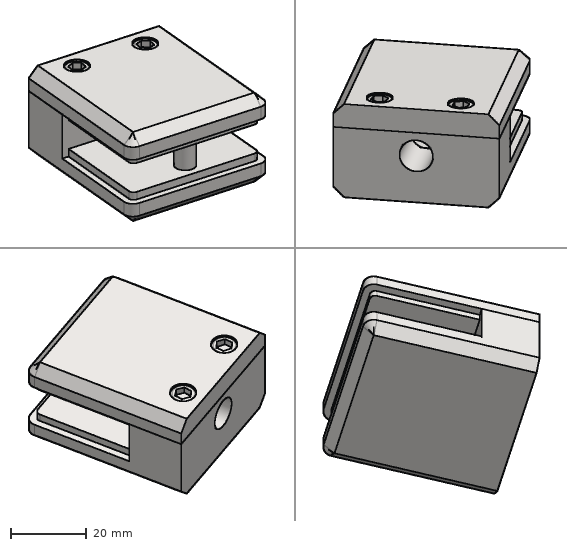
import cadquery as cq

LENGTH = 48.0
WIDTH = 45.0
HEIGHT = 27.0
EDGE_BEVEL = 3.0

COVER_THICKNESS = 6.8
SLOT_BACK = 16.0
PAD_THICKNESS = 2.3
PAD_INSET = 2.0
PAD_CORNER_RADIUS = 1.5

BORE_DIAMETER = 9.0
PIN_DIAMETER = 6.0
PIN_X = 41.0
PIN_END_GAP = 0.1

SCREW_X = 6.0
SCREW_SPACING = 22.0
HEAD_DIAMETER = 7.0
HEAD_HEIGHT = 4.0
HEAD_RECESS = 0.3
HEAD_ROUNDING = 0.55
SHANK_DIAMETER = 4.0
SHANK_LENGTH = 12.0
SOCKET_ACROSS_CORNERS = 4.7
SOCKET_DEPTH = 1.9
LOWER_SOCKET_TURN = -5.0
UPPER_SOCKET_TURN = -9.0

TOP = HEIGHT / 2
COVER_BOTTOM = TOP - COVER_THICKNESS
SLOT_FLOOR = -COVER_BOTTOM
PIN_LENGTH = 2 * (COVER_BOTTOM - PAD_THICKNESS - PIN_END_GAP)
HEAD_TOP = TOP - HEAD_RECESS
HEAD_SEAT = HEAD_TOP - HEAD_HEIGHT
SCREW_PLACES = [
    (-SCREW_SPACING / 2, LOWER_SOCKET_TURN),
    (SCREW_SPACING / 2, UPPER_SOCKET_TURN),
]


def block_between(x_start, x_end, z_bottom, z_top):
    """Full-width box between two X planes and two Z planes."""
    return (
        cq.Workplane("XY")
        .box(x_end - x_start, WIDTH, z_top - z_bottom, centered=(False, True, False))
        .translate((x_start, 0, z_bottom))
    )


def make_envelope():
    """Outer shape of the closed clamp, before it is split into base and cover."""
    straight_length = LENGTH - EDGE_BEVEL
    straight_half_width = WIDTH / 2 - EDGE_BEVEL
    straight_half_height = HEIGHT / 2 - EDGE_BEVEL

    main_bar = (
        cq.Workplane("YZ")
        .rect(WIDTH, HEIGHT)
        .extrude(straight_length)
        .edges("|X")
        .chamfer(EDGE_BEVEL)
    )
    nose_section = [
        (0, -HEIGHT / 2),
        (EDGE_BEVEL, -straight_half_height),
        (EDGE_BEVEL, straight_half_height),
        (0, HEIGHT / 2),
    ]
    nose = (
        cq.Workplane("XZ", origin=(straight_length, 0, 0))
        .polyline(nose_section)
        .close()
        .extrude(straight_half_width, both=True)
    )
    corner = cq.Workplane("XZ").polyline(nose_section).close().revolve(360, (0, 0), (0, 1))

    envelope = main_bar.union(nose)
    for side in (-1, 1):
        envelope = envelope.union(corner.translate((straight_length, side * straight_half_width, 0)))
    return envelope


def make_pad(z_bottom):
    """Raised clamping pad that starts at the slot's closed end."""
    pad_length = LENGTH - PAD_INSET - SLOT_BACK
    return (
        cq.Workplane("XY", origin=(SLOT_BACK, 0, z_bottom))
        .box(pad_length, WIDTH - 2 * PAD_INSET, PAD_THICKNESS, centered=(False, True, False))
        .edges("|Z and >X")
        .fillet(PAD_CORNER_RADIUS)
    )


def make_screw_blank(y):
    """Solid outline of a screw with a square-edged head."""
    head = cq.Workplane("XY", origin=(SCREW_X, y, HEAD_SEAT)).circle(HEAD_DIAMETER / 2).extrude(HEAD_HEIGHT)
    return head.faces("<Z").workplane().circle(SHANK_DIAMETER / 2).extrude(SHANK_LENGTH)


def make_screw(y, socket_turn):
    """Cap screw with a rounded head and a hexagon socket turned about its axis."""
    socket = (
        cq.Workplane("XY")
        .polygon(6, SOCKET_ACROSS_CORNERS)
        .extrude(SOCKET_DEPTH)
        .rotate((0, 0, 0), (0, 0, 1), socket_turn)
        .translate((SCREW_X, y, HEAD_TOP - SOCKET_DEPTH))
    )
    return make_screw_blank(y).faces(">Z").edges().fillet(HEAD_ROUNDING).cut(socket)


def make_screw_hole(y):
    """Stepped hole that fits one screw and stays open above its head."""
    opening = cq.Workplane("XY", origin=(SCREW_X, y, HEAD_SEAT)).circle(HEAD_DIAMETER / 2)
    return make_screw_blank(y).union(opening.extrude(TOP - HEAD_SEAT))


def make_base(envelope):
    """Lower jaw and back block, with the lower pad, mounting bore and screw holes."""
    slot = block_between(SLOT_BACK, LENGTH, SLOT_FLOOR, COVER_BOTTOM)
    cover_space = block_between(0, LENGTH, COVER_BOTTOM, TOP)
    bore = cq.Workplane("YZ").circle(BORE_DIAMETER / 2).extrude(SLOT_BACK)
    base = envelope.cut(cover_space).cut(slot).cut(bore).union(make_pad(SLOT_FLOOR))
    for y, _ in SCREW_PLACES:
        base = base.cut(make_screw_hole(y))
    return base


def make_cover(envelope):
    """Upper jaw with the upper pad and screw holes."""
    cover_space = block_between(0, LENGTH, COVER_BOTTOM, TOP)
    cover = envelope.intersect(cover_space).union(make_pad(COVER_BOTTOM - PAD_THICKNESS))
    for y, _ in SCREW_PLACES:
        cover = cover.cut(make_screw_hole(y))
    return cover


def make_pin():
    """Safety pin standing between the two pads near the mouth, with a little end play."""
    return (
        cq.Workplane("XY", origin=(PIN_X, 0, -PIN_LENGTH / 2))
        .circle(PIN_DIAMETER / 2)
        .extrude(PIN_LENGTH)
    )


envelope = make_envelope()
base = make_base(envelope)
cover = make_cover(envelope)
pin = make_pin()
screws = [make_screw(y, turn) for y, turn in SCREW_PLACES]

result = cq.Compound.makeCompound(
    [base.val(), cover.val(), pin.val(), *[screw.val() for screw in screws]]
)